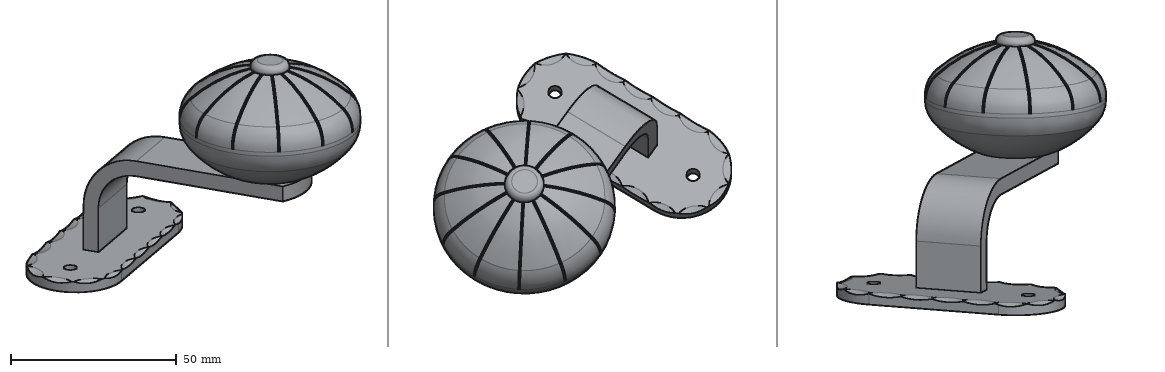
import cadquery as cq
import math

overall_length = 97.5

base_width = 30.0
base_length = 72.0
base_thickness = 3.5
base_end_radius = base_width / 2
base_end_y = base_length / 2 - base_end_radius
screw_hole_diameter = 4.0
screw_hole_spacing = 50.0

scallop_inset = 0.5
scallop_path_x = base_end_radius + scallop_inset
scallop_path_radius = base_end_radius - scallop_inset
scallop_half_chord = 5.0
scallop_overhang = 5.4
scallop_height = 19.5
scallop_radius = math.sqrt(scallop_half_chord**2 + scallop_overhang**2 + scallop_height**2)
scallop_reach = scallop_path_radius + scallop_overhang
side_scallop_count = 4
left_pitch = 10.0
right_pitch = 9.6
side_run_shift = 0.54
end_scallop_count = 5
end_pitch_angle = 38.1
back_end_start_angle = -9.5
front_end_start_angle = 174.5

arm_width = 21.0
arm_thickness = 5.0
arm_left_x = 12.8
arm_top_z = 35.5
arm_end_x = 82.1
arm_end_bulge = 3.1
bend_inner_radius = 12.5
bend_outer_radius = bend_inner_radius + arm_thickness

knob_x = 70.0
knob_radius = overall_length - knob_x
band_bottom_z = 51.4
band_top_z = 52.65
shoulder_radius = 9.4
upper_shoulder_height = 7.0
lower_shoulder_height = 5.9
upper_shoulder_angle = math.degrees(math.asin(upper_shoulder_height / shoulder_radius))
lower_shoulder_angle = math.degrees(math.asin(lower_shoulder_height / shoulder_radius))
foot_radius = 11.3

button_radius = 5.9
button_top_z = 71.5
button_bottom_z = 68.9
button_fillet = 2.0
button_embed = 1.0

groove_count = 12
groove_width = 0.7
groove_depth = 0.3


def make_base():
    """Slot-shaped plate with its left edge at x = 0 and two through screw holes."""
    plate = cq.Workplane("XY").center(base_end_radius, 0).slot2D(base_length, base_width, 90)
    holes = cq.Workplane("XY").center(base_end_radius, 0).rarray(1, screw_hole_spacing, 1, 2)
    return plate.extrude(base_thickness).cut(holes.circle(screw_hole_diameter / 2).extrude(base_thickness))


def scallop_centres():
    """XY centres of the scallop spheres, all standing just outside the rim."""
    centres = []
    for i in range(side_scallop_count):
        step = i - (side_scallop_count - 1) / 2
        centres.append((scallop_path_x - scallop_reach, step * left_pitch + side_run_shift))
        centres.append((scallop_path_x + scallop_reach, step * right_pitch - side_run_shift))
    for end_y, start in ((base_end_y, back_end_start_angle), (-base_end_y, front_end_start_angle)):
        for i in range(end_scallop_count):
            angle = math.radians(start + (i + 0.5) * end_pitch_angle)
            x = scallop_path_x + scallop_reach * math.cos(angle)
            y = end_y + scallop_reach * math.sin(angle)
            centres.append((x, y))
    return centres


def cut_scallops(base):
    sphere = cq.Workplane("XY").sphere(scallop_radius)
    for x, y in scallop_centres():
        base = base.cut(sphere.translate((x, y, base_thickness + scallop_height)))
    return base


def make_arm():
    """Bar bent through a right angle, with a shallow curved end."""
    bend_x = arm_left_x + bend_outer_radius
    bend_z = arm_top_z - bend_outer_radius
    arm = (
        cq.Workplane("XZ")
        .moveTo(arm_left_x, 0)
        .lineTo(arm_left_x, bend_z)
        .radiusArc((bend_x, arm_top_z), bend_outer_radius)
        .lineTo(arm_end_x - arm_end_bulge, arm_top_z)
        .lineTo(arm_end_x - arm_end_bulge, arm_top_z - arm_thickness)
        .lineTo(bend_x, arm_top_z - arm_thickness)
        .radiusArc((arm_left_x + arm_thickness, bend_z), -bend_inner_radius)
        .lineTo(arm_left_x + arm_thickness, 0)
        .close()
        .extrude(arm_width / 2, both=True)
    )
    rounded_end = (
        cq.Workplane("XY", origin=(arm_end_x - arm_end_bulge, 0, arm_top_z - arm_thickness))
        .moveTo(0, -arm_width / 2)
        .sagittaArc((0, arm_width / 2), -arm_end_bulge)
        .close()
        .extrude(arm_thickness)
    )
    return arm.union(rounded_end)


def shoulder_point(angle):
    """Point on the rounded shoulder, as (distance from axis, height from the shoulder centre)."""
    turn = math.radians(angle)
    return knob_radius - shoulder_radius + shoulder_radius * math.cos(turn), shoulder_radius * math.sin(turn)


def add_crown(outline):
    """Continue an outline from the top of the band over the shoulder and crown to the button."""
    mid_r, mid_z = shoulder_point(upper_shoulder_angle / 2)
    end_r, end_z = shoulder_point(upper_shoulder_angle)
    shoulder = outline.threePointArc((mid_r, band_top_z + mid_z), (end_r, band_top_z + end_z))
    return shoulder.tangentArcPoint((button_radius, button_bottom_z), relative=False)


def make_knob():
    """Turned body whose underside arc is tangent to the lower shoulder where they meet."""
    mid_r, mid_z = shoulder_point(lower_shoulder_angle / 2)
    end_r, end_z = shoulder_point(lower_shoulder_angle)
    chord_r = end_r - foot_radius
    chord_z = band_bottom_z - end_z - arm_top_z
    half_sweep = math.atan2(chord_r, chord_z) - math.radians(lower_shoulder_angle)
    underside_radius = math.hypot(chord_r, chord_z) / (2 * math.sin(half_sweep))
    outline = (
        cq.Workplane("XZ")
        .moveTo(0, arm_top_z)
        .lineTo(foot_radius, arm_top_z)
        .radiusArc((end_r, band_bottom_z - end_z), -underside_radius)
        .threePointArc((mid_r, band_bottom_z - mid_z), (knob_radius, band_bottom_z))
        .lineTo(knob_radius, band_top_z)
    )
    closed = add_crown(outline).lineTo(0, button_bottom_z).close()
    return closed.revolve(360, (0, 0, 0), (0, 1, 0))


def make_groove():
    """V-section cutter along the upper half of the knob on +X; full groove width is at the surface."""
    meridian = add_crown(cq.Workplane("XZ").moveTo(knob_radius, band_top_z))
    section = cq.Workplane("XY", origin=(knob_radius, 0, band_top_z)).polyline(
        [
            (-groove_depth, 0),
            (groove_depth, groove_width),
            (groove_depth, -groove_width),
        ]
    )
    return section.close().sweep(meridian)


def cut_grooves(knob):
    groove = make_groove()
    for i in range(groove_count):
        knob = knob.cut(groove.rotate((0, 0, 0), (0, 0, 1), i * 360 / groove_count))
    return knob


def make_button():
    """Rounded button whose base is embedded in the crown."""
    button = (
        cq.Workplane("XY", origin=(0, 0, button_bottom_z - button_embed))
        .circle(button_radius)
        .extrude(button_top_z - button_bottom_z + button_embed)
    )
    return button.faces(">Z").edges().fillet(button_fillet)


knob = cut_grooves(make_knob()).union(make_button()).translate((knob_x, 0, 0))
result = cut_scallops(make_base()).union(make_arm()).union(knob)